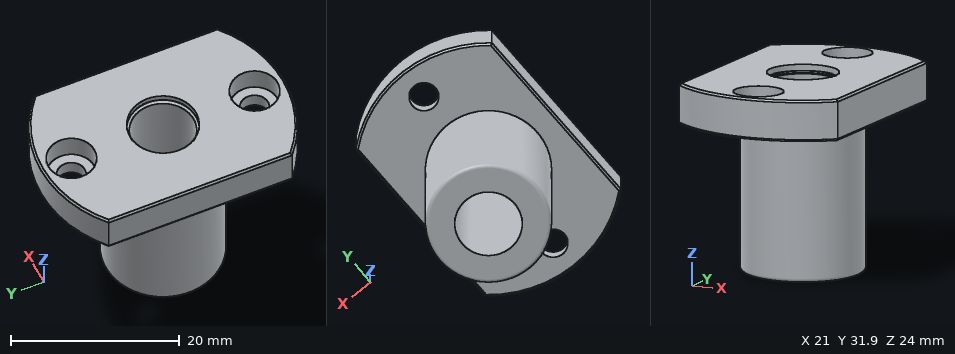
import cadquery as cq

flange_diameter = 31.9
flange_width = 21.0
flange_thickness = 5.0
flange_chamfer = 0.25

total_height = 24.0
sleeve_diameter = 15.0
sleeve_end_fillet = 0.48

bore_diameter = 8.0
recess_diameter = 8.6
recess_depth = 1.1
groove_diameter = 9.2
groove_width = 0.3

hole_spacing = 24.0
hole_diameter = 3.5
counterbore_diameter = 6.0
counterbore_depth = 3.1

flange_bottom = total_height - flange_thickness


def cylinder(diameter, bottom, height):
    """Upright cylinder on the part axis."""
    return cq.Workplane("XY").workplane(offset=bottom).circle(diameter / 2).extrude(height)


def make_flange():
    disc = cylinder(flange_diameter, flange_bottom, flange_thickness)
    flats = (
        cq.Workplane("XY")
        .workplane(offset=flange_bottom)
        .rect(flange_width, flange_diameter)
        .extrude(flange_thickness)
    )
    return disc.intersect(flats).faces("<Z or >Z").edges().chamfer(flange_chamfer)


def make_sleeve():
    sleeve = cylinder(sleeve_diameter, 0, total_height - flange_chamfer)
    return sleeve.faces("<Z").edges().fillet(sleeve_end_fillet)


def cut_bore(body):
    body = body.cut(cylinder(bore_diameter, 0, total_height))
    recess_floor = total_height - recess_depth
    body = body.cut(cylinder(recess_diameter, recess_floor, recess_depth))
    return body.cut(cylinder(groove_diameter, recess_floor, groove_width))


def cut_mounting_holes(body):
    return (
        body.faces(">Z")
        .workplane(origin=(0, 0, total_height))
        .pushPoints([(0, hole_spacing / 2), (0, -hole_spacing / 2)])
        .cboreHole(hole_diameter, counterbore_diameter, counterbore_depth)
    )


result = cut_mounting_holes(cut_bore(make_flange().union(make_sleeve())))